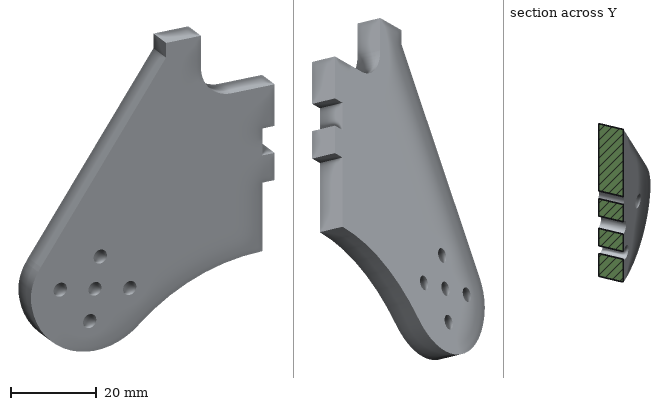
import cadquery as cq
import math

thickness = 6.3
height = 74.5
depth = 64.4

end_radius = 17.15
flank_start_z = -3.1
flank_start_y = -math.sqrt(end_radius**2 - flank_start_z**2)
flank_middle = (-end_radius, -0.6)
flank_end = (-15.2, 5.9)
slope_foot = (-14.5, 6.9)

top_z = height - end_radius
tab_front_y = 18.55
tab_width = 9.25
tab_back_y = tab_front_y + tab_width
tab_front_height = 3.7
shoulder_z = 41.1
fillet_radius = 8.05

back_y = depth - end_radius
tooth_length = 3.3
inner_back_y = back_y - tooth_length
upper_tooth_bottom_z = 30.55
lower_tooth_top_z = 23.7
lower_tooth_bottom_z = 16.8

underside_z = -0.7
concave_radius = (inner_back_y**2 + underside_z**2 - end_radius**2) / (2 * (end_radius + underside_z))
concave_center_z = underside_z - concave_radius
center_distance = concave_radius + end_radius
tangent_y = end_radius * inner_back_y / center_distance
tangent_z = end_radius * concave_center_z / center_distance

center_hole_diameter = 3.4
outer_hole_diameter = 3.5
pattern_y = -0.2
pattern_z = -1.4
pattern_tilt = 10.0
long_spacing = 9.3
short_spacing = 8.05


def arc_middle(center_y, center_z, radius, angle):
    """Point on a circle at an angle in degrees measured from +Y towards +Z."""
    turn = math.radians(angle)
    return center_y + radius * math.cos(turn), center_z + radius * math.sin(turn)


def make_plate():
    concave_start_angle = 90.0
    concave_end_angle = 180.0 + math.degrees(math.atan2(concave_center_z, inner_back_y))
    concave_middle = arc_middle(
        inner_back_y, concave_center_z, concave_radius, (concave_start_angle + concave_end_angle) / 2
    )
    fillet_middle = arc_middle(
        tab_back_y + fillet_radius, shoulder_z + fillet_radius, fillet_radius, 225
    )
    return (
        cq.Workplane("YZ")
        .moveTo(*slope_foot)
        .lineTo(tab_front_y, top_z - tab_front_height)
        .lineTo(tab_front_y, top_z)
        .lineTo(tab_back_y, top_z)
        .lineTo(tab_back_y, shoulder_z + fillet_radius)
        .threePointArc(fillet_middle, (tab_back_y + fillet_radius, shoulder_z))
        .lineTo(back_y, shoulder_z)
        .lineTo(back_y, upper_tooth_bottom_z)
        .lineTo(inner_back_y, upper_tooth_bottom_z)
        .lineTo(inner_back_y, lower_tooth_top_z)
        .lineTo(back_y, lower_tooth_top_z)
        .lineTo(back_y, lower_tooth_bottom_z)
        .lineTo(inner_back_y, lower_tooth_bottom_z)
        .lineTo(inner_back_y, underside_z)
        .threePointArc(concave_middle, (tangent_y, tangent_z))
        .threePointArc((0, -end_radius), (flank_start_y, flank_start_z))
        .threePointArc(flank_middle, flank_end)
        .close()
        .extrude(thickness)
    )


def make_holes(points, diameter):
    return cq.Workplane("YZ").pushPoints(points).circle(diameter / 2).extrude(thickness)


def outer_hole_points():
    spacings = (long_spacing, short_spacing, long_spacing, short_spacing)
    return [
        arc_middle(pattern_y, pattern_z, spacing, quarter * 90 - pattern_tilt)
        for quarter, spacing in enumerate(spacings)
    ]


result = (
    make_plate()
    .cut(make_holes([(pattern_y, pattern_z)], center_hole_diameter))
    .cut(make_holes(outer_hole_points(), outer_hole_diameter))
)